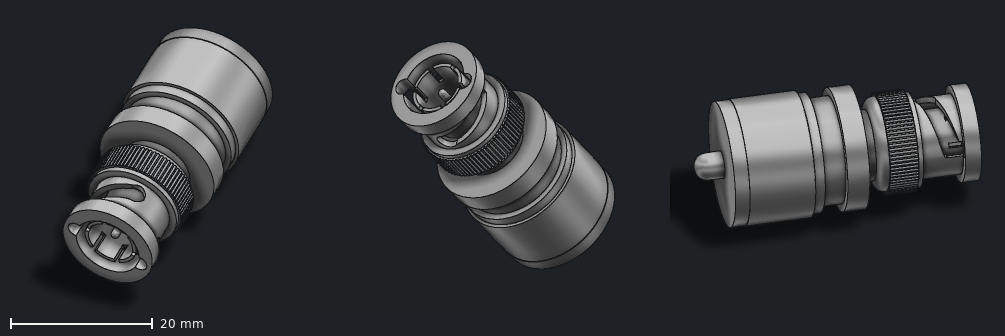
import cadquery as cq
import math


SHOULDER_Y = 8.35
COLLAR_Y = 16.55
WAIST_Y = 19.75
STEP_Y = 22.95
BARREL_Y = 24.43
END_RING_Y = 33.9
BODY_END_Y = 36.0
PLUG_TIP_Y = 39.98

NECK_R = 5.1
COLLAR_R = 8.88
WAIST_R = 7.7
STEP_R = 8.6
BARREL_R = 9.08
END_RING_R = 9.0
PLUG_R = 1.95
PLUG_ROUND = 1.75

SLEEVE_MOUTH_Y = 1.0
SLEEVE_R = 3.95
SLEEVE_BORE_R = 3.45
SLEEVE_SLOT_COUNT = 6
SLEEVE_SLOT_WIDTH = 0.75
SLEEVE_SLOT_END_Y = 4.05
PIN_R = 0.6
PIN_TIP_Y = 2.0

CLOCKING = 14.5
LIP_END_Y = 2.35
KNURL_START_Y = 9.1
KNURL_END_Y = 13.25
COUPLING_END_Y = 14.8
LIP_R = 6.95
BAYONET_R = 5.75
GRIP_R = 6.85
GRIP_ROUND = 1.5
COUPLING_BORE_R = 4.88

KNURL_COUNT = 76
KNURL_ROOT_R = 7.08
KNURL_TIP_R = 7.28
KNURL_RIDGE_SHARE = 0.65

TRACK_COUNT = 2
TRACK_SWEEP = 90.0
TRACK_LEAD_IN = 10.3
ENTRY_R = 1.25
ENTRY_OFFSET = 5.05
ENTRY_END_Y = 4.7
TRACK_START_Y = 3.95
SEAT_Y = 6.3
SLOT_HEIGHT = 2.7
SLOT_CORNER_R = 0.3
SEAT_R = 1.45
TRACK_INNER_R = 4.4
TRACK_OUTER_R = 6.4


def disc(radius, start_y, end_y):
    """Cylinder about the Y axis between two stations."""
    return cq.Workplane("XZ", origin=(0, start_y, 0)).circle(radius).extrude(start_y - end_y)


def turned(profile):
    """Solid of revolution about Y from (y, radius) points."""
    return cq.Workplane("YZ").polyline(profile).close().revolve(360, (0, 0, 0), (1, 0, 0))


def about_axis(shape, angle):
    """Turn a shape about +Y."""
    return shape.rotate((0, 0, 0), (0, 1, 0), angle)


def make_turned_body():
    return turned([
        (SHOULDER_Y, 0),
        (SHOULDER_Y, NECK_R),
        (COLLAR_Y, NECK_R),
        (COLLAR_Y, COLLAR_R),
        (WAIST_Y, COLLAR_R),
        (WAIST_Y, WAIST_R),
        (STEP_Y, WAIST_R),
        (STEP_Y, STEP_R),
        (BARREL_Y, STEP_R),
        (BARREL_Y, BARREL_R),
        (END_RING_Y, BARREL_R),
        (END_RING_Y, END_RING_R),
        (BODY_END_Y, END_RING_R),
        (BODY_END_Y, 0),
    ])


def make_plug():
    plug = disc(PLUG_R, BODY_END_Y, PLUG_TIP_Y)
    return plug.faces(">Y").edges().fillet(PLUG_ROUND)


def make_contact_sleeve():
    sleeve = turned([
        (SLEEVE_MOUTH_Y, SLEEVE_BORE_R),
        (SLEEVE_MOUTH_Y, SLEEVE_R),
        (SHOULDER_Y, SLEEVE_R),
        (SHOULDER_Y, SLEEVE_BORE_R),
    ])
    slot_length = SLEEVE_SLOT_END_Y - SLEEVE_MOUTH_Y
    slot = cq.Workplane("XY").box(
        SLEEVE_R, slot_length, SLEEVE_SLOT_WIDTH, centered=(False, False, True)
    ).translate((0, SLEEVE_MOUTH_Y, 0))
    for i in range(SLEEVE_SLOT_COUNT):
        sleeve = sleeve.cut(about_axis(slot, i * 360 / SLEEVE_SLOT_COUNT))
    return about_axis(sleeve, CLOCKING)


def make_center_pin():
    pin = disc(PIN_R, PIN_TIP_Y + PIN_R, SHOULDER_Y)
    tip = cq.Workplane("XY").sphere(PIN_R).translate((0, PIN_TIP_Y + PIN_R, 0))
    return pin.union(tip)


def make_connector_body():
    body = make_turned_body()
    for part in (make_plug(), make_contact_sleeve(), make_center_pin()):
        body = body.union(part)
    return body


def make_knurl():
    """Band of rounded ridges, each one an arc standing between flat valleys."""
    def rim_point(radius, position):
        angle = 2 * math.pi * position / KNURL_COUNT
        return (radius * math.cos(angle), radius * math.sin(angle))

    half_ridge = KNURL_RIDGE_SHARE / 2
    first_valley = rim_point(KNURL_ROOT_R, -half_ridge)
    outline = cq.Workplane("XZ", origin=(0, KNURL_START_Y, 0)).moveTo(*first_valley)
    for i in range(KNURL_COUNT):
        outline = outline.threePointArc(
            rim_point(KNURL_TIP_R, i), rim_point(KNURL_ROOT_R, i + half_ridge)
        )
        if i < KNURL_COUNT - 1:
            outline = outline.lineTo(*rim_point(KNURL_ROOT_R, i + 1 - half_ridge))
    return outline.close().extrude(KNURL_START_Y - KNURL_END_Y)


def make_coupling_blank():
    """Lip, bayonet wall and rounded grip, before any opening is cut."""
    profile = (
        cq.Workplane("YZ")
        .moveTo(0, 0)
        .lineTo(0, LIP_R)
        .lineTo(LIP_END_Y, LIP_R)
        .lineTo(LIP_END_Y, BAYONET_R)
        .lineTo(SHOULDER_Y, BAYONET_R)
        .lineTo(SHOULDER_Y, GRIP_R)
        .lineTo(COUPLING_END_Y - GRIP_ROUND, GRIP_R)
        .radiusArc((COUPLING_END_Y, GRIP_R - GRIP_ROUND), GRIP_ROUND)
        .lineTo(COUPLING_END_Y, 0)
        .close()
    )
    return profile.revolve(360, (0, 0, 0), (1, 0, 0))


def make_radial_hole(radius, y):
    """Cutter through the wall along +X, centred at a station on the axis."""
    depth = TRACK_OUTER_R - TRACK_INNER_R
    return cq.Workplane("YZ", origin=(TRACK_INNER_R, y, 0)).circle(radius).extrude(depth)


def make_helical_slot():
    """Cutter with a radial rectangle section, climbing from the entry groove to the seat."""
    slope = (SEAT_Y - TRACK_START_Y) / TRACK_SWEEP
    rise = slope * (TRACK_SWEEP + TRACK_LEAD_IN)
    middle_r = (TRACK_INNER_R + TRACK_OUTER_R) / 2
    path = cq.Wire.makeHelix(slope * 360, rise, middle_r)
    slot = (
        cq.Workplane("XZ")
        .center(middle_r, 0)
        .rect(TRACK_OUTER_R - TRACK_INNER_R, SLOT_HEIGHT)
        .sweep(cq.Workplane(path), isFrenet=True)
    )
    upper_start = cq.selectors.NearestToPointSelector((middle_r, 0, SLOT_HEIGHT / 2))
    slot = slot.edges(upper_start).fillet(SLOT_CORNER_R)
    slot = slot.rotate((0, 0, 0), (1, 0, 0), -90).translate((0, SEAT_Y - rise, 0))
    return about_axis(slot, -TRACK_LEAD_IN)


def make_bayonet_track():
    """Cutters of one track: entry groove on the +X side, helical slot, seat."""
    entry = disc(ENTRY_R, 0, ENTRY_END_Y).translate((ENTRY_OFFSET, 0, 0))
    seat = about_axis(make_radial_hole(SEAT_R, SEAT_Y), TRACK_SWEEP)
    return [entry, make_helical_slot(), seat]


def make_coupling():
    coupling = make_coupling_blank().union(make_knurl())
    coupling = coupling.cut(disc(COUPLING_BORE_R, 0, COUPLING_END_Y))
    coupling = coupling.cut(disc(NECK_R, SHOULDER_Y, COUPLING_END_Y))
    for i in range(TRACK_COUNT):
        for cutter in make_bayonet_track():
            coupling = coupling.cut(about_axis(cutter, i * 360 / TRACK_COUNT))
    return about_axis(coupling, CLOCKING)


connector_body = make_connector_body()
coupling = make_coupling()

result = cq.Compound.makeCompound([connector_body.val(), coupling.val()])